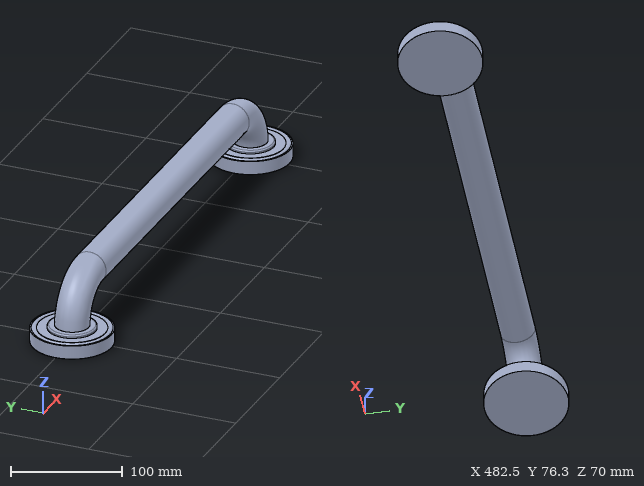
import cadquery as cq

overall_length = 482.5
overall_height = 70.0

flange_diameter = 76.3
flange_plate_height = 13.0
bead_inset = 1.5
bead_width = 5.0
bead_height = 1.5
collar_diameter = 45.0
collar_height = 3.0
collar_edge_radius = 1.5

tube_diameter = 32.0
bend_radius = 40.0

post_offset = (overall_length - flange_diameter) / 2
tube_axis_height = overall_height - tube_diameter / 2
bend_start_height = tube_axis_height - bend_radius
straight_half_length = post_offset - bend_radius


def make_flange(x_position):
    """Round flange with a rounded bead near its rim and a low collar around the tube."""
    flange_radius = flange_diameter / 2
    collar_radius = collar_diameter / 2
    collar_top = flange_plate_height + collar_height
    bead_outer = flange_radius - bead_inset
    bead_inner = bead_outer - bead_width
    bead_crest = (bead_outer - bead_width / 2, flange_plate_height + bead_height)

    half_profile = (
        cq.Workplane("XZ")
        .lineTo(flange_radius, 0)
        .lineTo(flange_radius, flange_plate_height)
        .lineTo(bead_outer, flange_plate_height)
        .threePointArc(bead_crest, (bead_inner, flange_plate_height))
        .lineTo(collar_radius, flange_plate_height)
        .lineTo(collar_radius, collar_top - collar_edge_radius)
        .tangentArcPoint((collar_radius - collar_edge_radius, collar_top), relative=False)
        .lineTo(0, collar_top)
        .close()
    )
    return half_profile.revolve(360, (0, 0), (0, 1)).translate((x_position, 0, 0))


def make_tube():
    """Solid round bar rising from one flange, bending over and returning to the other."""
    path = (
        cq.Workplane("XZ")
        .moveTo(-post_offset, 0)
        .lineTo(-post_offset, bend_start_height)
        .tangentArcPoint((-straight_half_length, tube_axis_height), relative=False)
        .lineTo(straight_half_length, tube_axis_height)
        .tangentArcPoint((post_offset, bend_start_height), relative=False)
        .lineTo(post_offset, 0)
    )
    return (
        cq.Workplane("XY", origin=(-post_offset, 0, 0))
        .circle(tube_diameter / 2)
        .sweep(path)
    )


result = make_tube()
for side in (-1, 1):
    result = result.union(make_flange(side * post_offset))